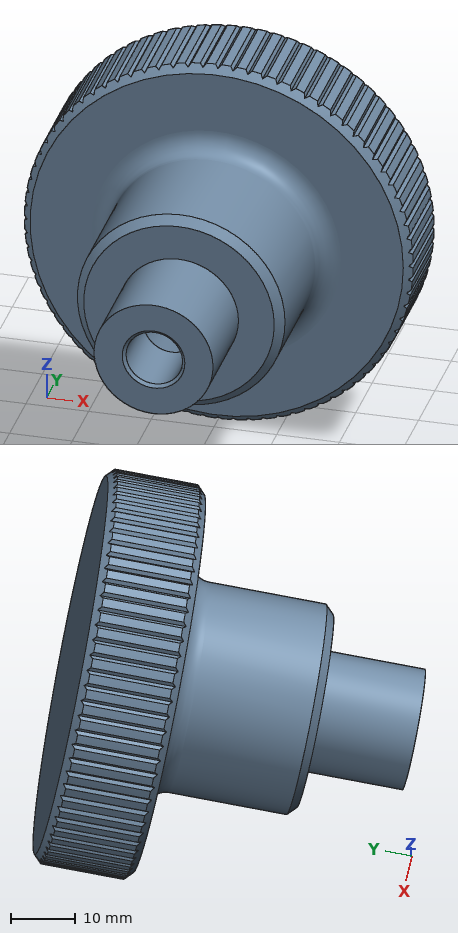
import cadquery as cq
import math

total_length = 54.0

rim_radius = 31.0
rim_width = 15.4
rim_chamfer = 1.25
groove_count = 80
groove_depth = 0.5
groove_angle = 90.0

hub_radius = 16.55
hub_end_depth = 38.45
hub_chamfer = 1.35
hub_root_fillet = 3.3

bush_radius = 9.5

hole_diameter = 9.0
hole_radius = hole_diameter / 2
hole_depth = 11.15
hole_mouth_chamfer = 0.5
drill_tip_angle = 118.0


def revolve_about_y(outline):
    return outline.close().revolve(360, (0, 0, 0), (0, 1, 0))


def make_rim_and_hub():
    rim_face_radius = rim_radius - rim_chamfer
    fillet_end = rim_width + hub_root_fillet
    outline = (
        cq.Workplane("XY")
        .moveTo(0, 0)
        .lineTo(rim_face_radius, 0)
        .lineTo(rim_radius, -rim_chamfer)
        .lineTo(rim_radius, rim_chamfer - rim_width)
        .lineTo(rim_face_radius, -rim_width)
        .lineTo(hub_radius + hub_root_fillet, -rim_width)
        .radiusArc((hub_radius, -fillet_end), -hub_root_fillet)
        .lineTo(hub_radius, hub_chamfer - hub_end_depth)
        .lineTo(hub_radius - hub_chamfer, -hub_end_depth)
        .lineTo(0, -hub_end_depth)
    )
    return revolve_about_y(outline)


def make_groove_cutters():
    outer_radius = rim_radius + groove_depth
    groove_bottom = rim_radius - groove_depth
    outer_half_width = (outer_radius - groove_bottom) * math.tan(math.radians(groove_angle / 2))
    bar = (
        cq.Workplane("XZ")
        .moveTo(groove_bottom, 0)
        .lineTo(outer_radius, outer_half_width)
        .lineTo(outer_radius, -outer_half_width)
        .close()
        .extrude(rim_width)
        .val()
    )
    axis_start = cq.Vector(0, 0, 0)
    axis_end = cq.Vector(0, 1, 0)
    pitch_angle = 360 / groove_count
    return [bar.rotate(axis_start, axis_end, i * pitch_angle) for i in range(groove_count)]


def make_knob():
    rim_and_hub = make_rim_and_hub().val()
    return cq.Workplane(obj=rim_and_hub.cut(*make_groove_cutters()))


def make_bush():
    mouth_radius = hole_radius + hole_mouth_chamfer
    hole_bottom = hole_depth - total_length
    tip_height = hole_radius / math.tan(math.radians(drill_tip_angle / 2))
    outline = (
        cq.Workplane("XY")
        .moveTo(0, -hub_end_depth)
        .lineTo(bush_radius, -hub_end_depth)
        .lineTo(bush_radius, -total_length)
        .lineTo(mouth_radius, -total_length)
        .lineTo(hole_radius, hole_mouth_chamfer - total_length)
        .lineTo(hole_radius, hole_bottom)
        .lineTo(0, hole_bottom + tip_height)
    )
    return revolve_about_y(outline)


knob = make_knob()
bush = make_bush()

result = cq.Compound.makeCompound([knob.val(), bush.val()])